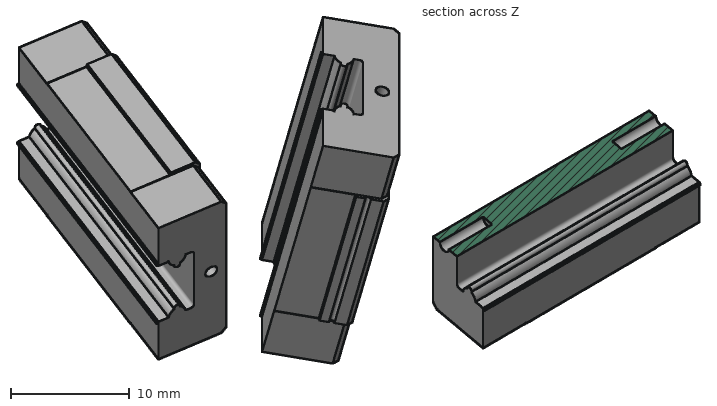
import cadquery as cq


length = 23.7
depth = 6.9
height = 17.0
block_length = 14.22

lip_reach = 0.17
front_depth = depth - lip_reach
block_half_height = 8.25
block_chamfer = 0.45
band_half_height = height / 2
band_depth = 2.9
band_edge_slope = 0.07
relief_depth = 0.15
relief_half_width = 3.44
relief_edge_slope = 0.1
groove_depth_position = 1.78
groove_radius = 0.24

cap_half_height = 8.2
cap_chamfer = 0.5
lube_hole_diameter = 1.14
lube_hole_position = 1.6
lube_hole_depth = (length - block_length) / 2

channel_depth = 3.3
channel_half_width = 3.48
channel_fillet = 0.3

rib_center_depth = 4.9
rib_half_width = 0.83
rib_shoulder_half_width = 0.69
rib_shoulder_position = 3.1
nub_half_width = 0.28
nub_base = 2.73
nub_tip = 2.37

lip_inner = 3.58
lip_thickness = 0.1
lip_root = 3.72


def extrude_along_rail(profile, extent):
    """Extrude a YZ profile symmetrically about X = 0."""
    return profile.extrude(extent / 2, both=True)


def at_depth(points):
    """Turn (depth below the mounting face, z) pairs into YZ points."""
    return [(-d, z) for d, z in points]


def symmetric_outline(upper):
    """Close an upper-half outline with its mirror image below Z = 0."""
    lower = [(d, -z) for d, z in reversed(upper)]
    return cq.Workplane("YZ").polyline(at_depth(upper + lower)).close()


def carriage_block():
    outline = symmetric_outline([
        (relief_depth, relief_half_width - relief_edge_slope),
        (0, relief_half_width),
        (0, band_half_height - block_chamfer),
        (block_chamfer, band_half_height),
        (band_depth - band_edge_slope, band_half_height),
        (band_depth, block_half_height),
        (front_depth, block_half_height),
    ])
    block = extrude_along_rail(outline, block_length)
    groove = cq.Workplane("YZ").center(-groove_depth_position, -band_half_height).circle(groove_radius)
    return block.cut(extrude_along_rail(groove, block_length))


def full_length_body():
    """Body reaching both ends; its outer stretches are the end caps."""
    outline = symmetric_outline([
        (relief_depth, cap_half_height - cap_chamfer),
        (relief_depth + cap_chamfer, cap_half_height),
        (front_depth, cap_half_height),
    ])
    return extrude_along_rail(outline, length)


def rail_channel():
    channel = cq.Workplane("XY").box(
        length, depth - channel_depth, 2 * channel_half_width
    ).translate((0, -(depth + channel_depth) / 2, 0))
    return channel.edges("|X and >Y").fillet(channel_fillet)


def retainer_rib():
    """Rib on the upper wall: two rounded flanks and a rounded nub at the tip."""
    rear_root, rear_shoulder, rear_neck, tip, front_neck, front_shoulder, front_root = at_depth([
        (rib_center_depth - rib_half_width, channel_half_width),
        (rib_center_depth - rib_shoulder_half_width, rib_shoulder_position),
        (rib_center_depth - nub_half_width, nub_base),
        (rib_center_depth, nub_tip),
        (rib_center_depth + nub_half_width, nub_base),
        (rib_center_depth + rib_shoulder_half_width, rib_shoulder_position),
        (rib_center_depth + rib_half_width, channel_half_width),
    ])
    profile = (
        cq.Workplane("YZ")
        .moveTo(*rear_root)
        .threePointArc(rear_shoulder, rear_neck)
        .threePointArc(tip, front_neck)
        .threePointArc(front_shoulder, front_root)
        .close()
    )
    return extrude_along_rail(profile, length)


def seal_lip():
    """Thin lip that leans forward from the upper channel edge."""
    outline = at_depth([
        (front_depth - lip_thickness, channel_half_width),
        (depth, lip_inner),
        (depth, lip_inner + lip_thickness),
        (front_depth, lip_root),
        (front_depth - lip_thickness, lip_root),
    ])
    return extrude_along_rail(cq.Workplane("YZ").polyline(outline).close(), length)


def lube_hole(side):
    return (
        cq.Workplane("YZ", origin=(side * length / 2, -lube_hole_position, 0))
        .circle(lube_hole_diameter / 2)
        .extrude(-side * lube_hole_depth)
    )


result = carriage_block().union(full_length_body()).cut(rail_channel())

for wall_detail in (retainer_rib(), seal_lip()):
    result = result.union(wall_detail).union(wall_detail.mirror("XY"))

for end in (-1, 1):
    result = result.cut(lube_hole(end))